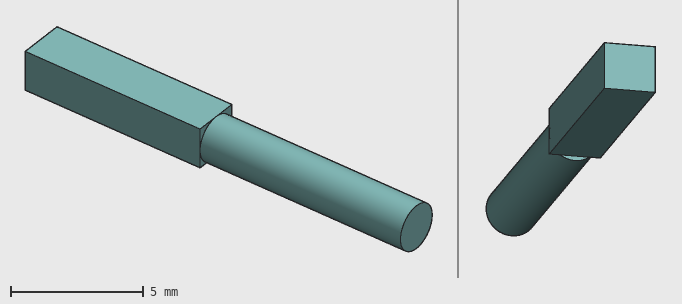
import cadquery as cq

total_length = 17.8
shank_diameter = 2.0
block_length = 8.3
block_height = 1.82

block_width = shank_diameter
shank_length = total_length - block_length
top_z = shank_diameter / 2

block = cq.Workplane("XY").box(
    block_length, block_width, block_height, centered=(False, True, False)
).translate((0, 0, top_z - block_height))

shank = (
    cq.Workplane("YZ", origin=(block_length, 0, 0))
    .circle(shank_diameter / 2)
    .extrude(shank_length)
)

result = block.union(shank)